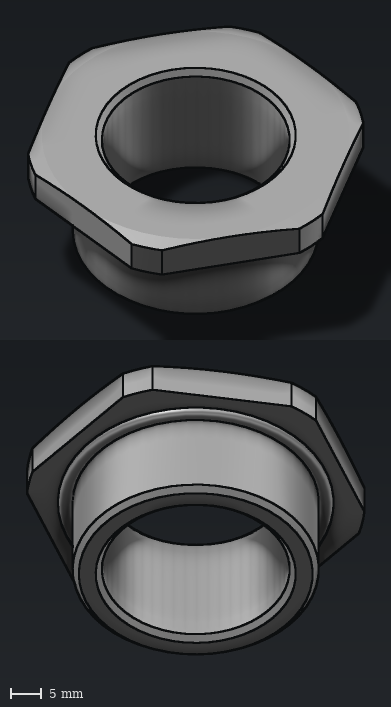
import cadquery as cq
import math

across_flats = 50.0
corner_diameter = 55.0
head_height = 6.0
total_height = 22.0
shank_diameter = 40.0
shank_chamfer = 1.0
head_chamfer_angle = 15.0

bore_diameter = 30.5
bore_chamfer = 1.0

ring_section = 2.4

shank_radius = shank_diameter / 2
head_bottom = total_height - head_height
ring_centre_radius = shank_radius + ring_section / 2
ring_centre_height = head_bottom


def make_ring():
    """Sealing ring lying against the shank, half sunk into the underside of the head."""
    return (
        cq.Workplane("XZ")
        .center(ring_centre_radius, ring_centre_height)
        .circle(ring_section / 2)
        .revolve(360, (-ring_centre_radius, 0), (-ring_centre_radius, 1))
    )


def make_head():
    """Hexagon with two flats facing +X and -X, its corners turned round and bevelled on top."""
    hexagon_corner_diameter = across_flats / math.cos(math.radians(30))
    hexagon = (
        cq.Workplane("XY")
        .workplane(offset=head_bottom)
        .polygon(6, hexagon_corner_diameter)
        .extrude(head_height)
        .rotate((0, 0, 0), (0, 0, 1), 30)
    )
    flat_radius = across_flats / 2
    corner_radius = corner_diameter / 2
    bevel_drop = (corner_radius - flat_radius) * math.tan(math.radians(head_chamfer_angle))
    turned_blank = (
        cq.Workplane("XZ")
        .moveTo(0, head_bottom)
        .lineTo(corner_radius, head_bottom)
        .lineTo(corner_radius, total_height - bevel_drop)
        .lineTo(flat_radius, total_height)
        .lineTo(0, total_height)
        .close()
        .revolve(360, (0, 0), (0, 1))
    )
    return hexagon.intersect(turned_blank)


def make_shank():
    """Round shank below the head, chamfered at its free end."""
    return (
        cq.Workplane("XY")
        .circle(shank_radius)
        .extrude(head_bottom)
        .faces("<Z")
        .chamfer(shank_chamfer)
    )


def make_bore():
    """Cutter for the through bore and its two chamfered mouths."""
    bore_radius = bore_diameter / 2
    return (
        cq.Workplane("XZ")
        .lineTo(bore_radius + bore_chamfer, 0)
        .lineTo(bore_radius, bore_chamfer)
        .lineTo(bore_radius, total_height - bore_chamfer)
        .lineTo(bore_radius + bore_chamfer, total_height)
        .lineTo(0, total_height)
        .close()
        .revolve(360, (0, 0), (0, 1))
    )


sealing_ring = make_ring()
bushing = make_head().union(make_shank()).cut(make_bore()).cut(sealing_ring)

result = cq.Compound.makeCompound([bushing.solids().val(), sealing_ring.val()])